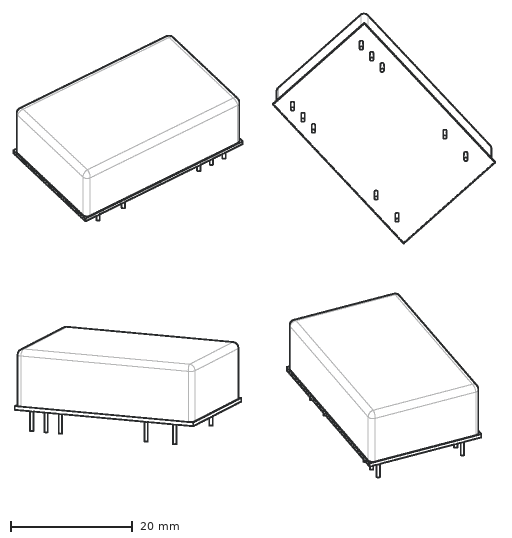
import cadquery as cq

base_width = 20.3
base_length = 31.8
base_thickness = 0.65

rim = 0.15
case_width = base_width - 2 * rim
case_length = base_length - 2 * rim
corner_radius = 0.83
top_edge_radius = 1.0

overall_height = 14.0
pin_length = 3.85
case_top = overall_height - pin_length
case_height = case_top - base_thickness

pin_diameter = 0.6
pin_pitch = 2.55
row_spacing = 6 * pin_pitch
first_pin_y = 13.9
pin_slots = (0, 1, 2, 8, 10)


def make_case():
    """Block with rounded vertical corners and a rounded top edge."""
    block = (
        cq.Workplane("XY")
        .workplane(offset=base_thickness)
        .rect(case_width, case_length)
        .extrude(case_height)
    )
    return block.edges("|Z").fillet(corner_radius).faces(">Z").edges().fillet(top_edge_radius)


def make_pins():
    """Round pins hanging from the plate; they start at its top face to overlap it."""
    centres = [
        (side * row_spacing / 2, first_pin_y - slot * pin_pitch)
        for side in (-1, 1)
        for slot in pin_slots
    ]
    return (
        cq.Workplane("XY")
        .workplane(offset=-pin_length)
        .pushPoints(centres)
        .circle(pin_diameter / 2)
        .extrude(pin_length + base_thickness)
    )


base = cq.Workplane("XY").rect(base_width, base_length).extrude(base_thickness)
result = base.union(make_case()).union(make_pins())